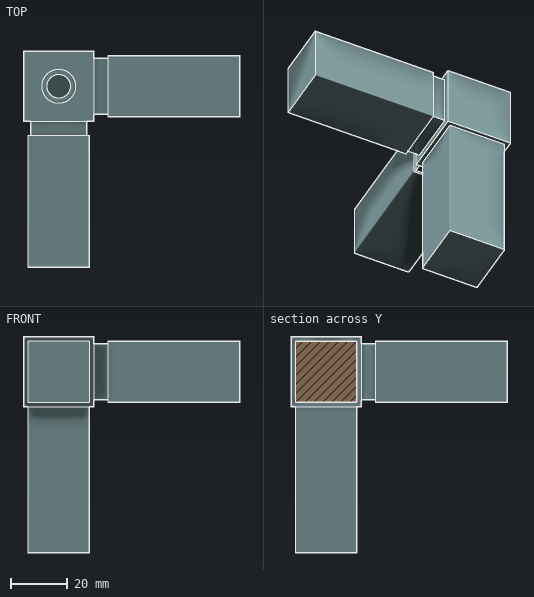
import cadquery as cq

overall = 77.0
cube_side = 25.0
arm_side = 21.9
arm_edge = 0.4
neck_side = 20.0
neck_length = 5.0
bore_diameter = 8.4
counterbore_diameter = 12.0
counterbore_depth = 3.0
bore_depth = cube_side / 2

block_face = cube_side / 2
arm_reach = overall - cube_side


def square_bar(plane_normal, start, length, side):
    """Square bar along a direction, starting at a distance from the block centre."""
    direction = cq.Vector(*plane_normal)
    x_direction = (0, 1, 0) if plane_normal[1] == 0 else (1, 0, 0)
    plane = cq.Plane(origin=(direction * start).toTuple(), xDir=x_direction, normal=plane_normal)
    return cq.Workplane(plane).rect(side, side).extrude(length)


def arm(direction, gap):
    """Arm with rounded long edges, leaving a gap between it and the block."""
    axis = "XYZ"[[abs(component) for component in direction].index(1)]
    bar = square_bar(direction, block_face + gap, arm_reach - gap, arm_side)
    return bar.edges("|" + axis).fillet(arm_edge)


result = cq.Workplane("XY").box(cube_side, cube_side, cube_side)

for horizontal in ((1, 0, 0), (0, -1, 0)):
    result = result.union(square_bar(horizontal, block_face, neck_length, neck_side))
    result = result.union(arm(horizontal, neck_length))

result = result.union(arm((0, 0, -1), 0))

result = (
    result.faces(">Z").workplane(origin=(0, 0, block_face))
    .cboreHole(bore_diameter, counterbore_diameter, counterbore_depth, bore_depth)
)